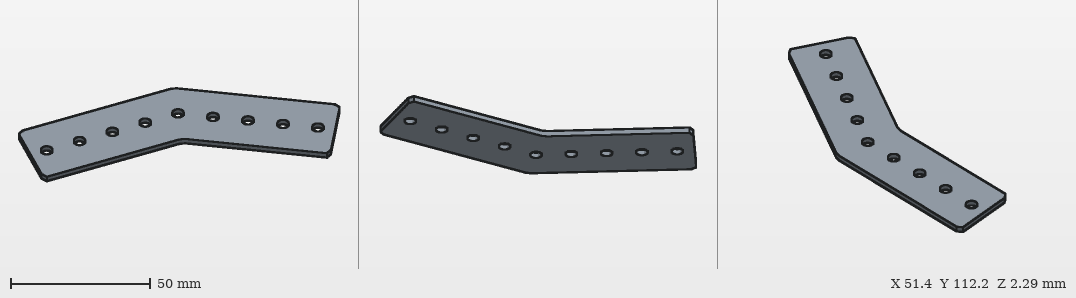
import cadquery as cq
import math

thickness = 2.29
hole_pitch = 12.7
hole_diameter = 4.17
holes_per_arm = 4
edge_clearance = 0.1
bend_angle = math.radians(30)
corner_short_leg = 1.21
corner_long_leg = 1.95
bend_leg = 1.09

half_width = hole_pitch - edge_clearance
arm_length = (holes_per_arm + 0.5) * hole_pitch - edge_clearance
bend_shift = half_width * math.tan(bend_angle / 2)


def on_lower_arm(across, along):
    """Point on the straight arm, measured from the bend hole at the origin."""
    return (across, -along)


def on_upper_arm(across, along):
    """Point on the leaning arm, measured from the bend hole at the origin."""
    x = across * math.cos(bend_angle) + along * math.sin(bend_angle)
    y = along * math.cos(bend_angle) - across * math.sin(bend_angle)
    return (x, y)


def arm_outline(on_arm):
    """Edge of one arm from the outer bend round its end to the inner bend.

    The long corner leg lies on the outer side edge and, at the other corner,
    on the end edge.
    """
    return [
        on_arm(-half_width, bend_leg - bend_shift),
        on_arm(-half_width, arm_length - corner_long_leg),
        on_arm(-half_width + corner_short_leg, arm_length),
        on_arm(half_width - corner_long_leg, arm_length),
        on_arm(half_width, arm_length - corner_short_leg),
        on_arm(half_width, bend_leg + bend_shift),
    ]


def bent_plate():
    """Flat plate whose two arms mirror each other about the bend."""
    outline = arm_outline(on_lower_arm) + arm_outline(on_upper_arm)[::-1]
    return cq.Workplane("XY").polyline(outline).close().extrude(thickness)


def hole_centres():
    """One row of holes along both arms, sharing the hole at the bend."""
    centres = [(0, 0)]
    for step in range(1, holes_per_arm + 1):
        distance = step * hole_pitch
        centres.append(on_lower_arm(0, distance))
        centres.append(on_upper_arm(0, distance))
    return centres


def hole_cutters():
    """Round through holes, one at every centre."""
    return cq.Workplane("XY").pushPoints(hole_centres()).circle(hole_diameter / 2).extrude(thickness)


result = bent_plate().cut(hole_cutters())